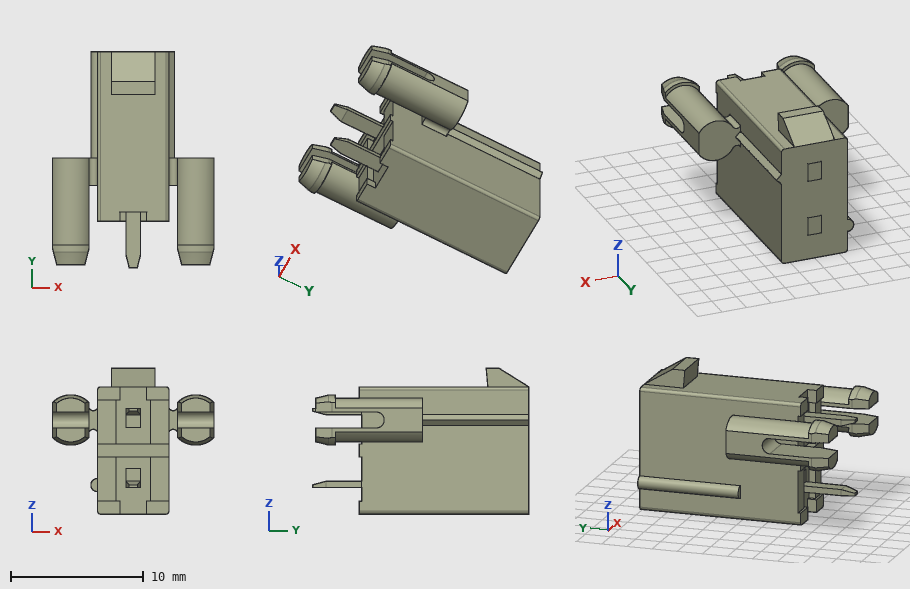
import cadquery as cq


housing_width = 5.4
housing_depth = 12.8
housing_height = 9.6
edge_radius = 0.25
side_x = housing_width / 2
top_z = housing_height / 2

corner_block_height = 1.0
middle_bar_height = 1.0
recess_depth = 0.2
channel_depth = 0.7
channel_width = 2.62
notch_width = 2.0

latch_width = 3.28
latch_height = 1.4
latch_length = 3.23
latch_ramp_length = 2.25
latch_undercut = 0.12

rib_length = 8.0
round_rib_radius = 0.5
round_rib_z = -2.6
vee_rib_height = 0.42

pin_width = 1.12
pin_block_height = 1.46
pin_tail_thickness = 0.49
pin_tail_length = 3.5
pin_tip_length = 1.0
pin_tip_width = 0.62
pin_tip_thickness = 0.22
upper_pin_outer_z = 3.18
lower_pin_outer_z = -2.8
pins_layout = [(upper_pin_outer_z, 1), (lower_pin_outer_z, -1)]

overall_width = 12.18
peg_width = 2.77
peg_half_width = peg_width / 2
peg_x = overall_width / 2 - peg_half_width
peg_z = 2.3
peg_radius = 1.65
peg_back_y = housing_depth - rib_length
head_radius = 1.9
head_tip_radius = 1.65
head_start_y = -1.77
cone_start_y = -2.3
peg_tip_y = -3.27
side_taper_start_y = -2.02
peg_tip_half_width = 1.06
slot_width = 1.2
slot_end_y = 1.9

neck_length = 2.1
neck_end_half_height = 0.9
neck_waist_half_height = 0.71


def block(x_limits, y_limits, z_limits):
    """Axis-aligned box between the given limits."""
    (x0, x1), (y0, y1), (z0, z1) = x_limits, y_limits, z_limits
    return cq.Workplane("XY").box(x1 - x0, y1 - y0, z1 - z0, centered=False).translate((x0, y0, z0))


def section_at(y):
    """Sketch plane across the Y axis; extruding runs toward +Y and local x points to -X."""
    return cq.Workplane(cq.Plane(origin=(0, y, 0), xDir=(-1, 0, 0), normal=(0, 1, 0)))


def pin_block(outer_z, outward):
    """Part of the pin inside the housing, from the channel floor to the back face."""
    z_limits = sorted((outer_z, outer_z - outward * pin_block_height))
    return block((-pin_width / 2, pin_width / 2), (channel_depth, housing_depth), z_limits)


def make_latch():
    base_y = housing_depth - latch_length + latch_undercut
    return (
        cq.Workplane("YZ")
        .moveTo(housing_depth, top_z)
        .lineTo(housing_depth - latch_ramp_length, top_z + latch_height)
        .lineTo(housing_depth - latch_length, top_z + latch_height)
        .lineTo(base_y, top_z)
        .close()
        .extrude(latch_width / 2, both=True)
    )


def make_ribs():
    """Round rib on the -X side low down, vee rib on the +X side level with the pegs."""
    rib_start_y = housing_depth - rib_length
    round_rib = section_at(rib_start_y).center(side_x, round_rib_z).circle(round_rib_radius).extrude(rib_length)
    vee_rib = (
        section_at(rib_start_y)
        .moveTo(-side_x, peg_z + vee_rib_height)
        .lineTo(-side_x - vee_rib_height, peg_z)
        .lineTo(-side_x, peg_z - vee_rib_height)
        .close()
        .extrude(rib_length)
    )
    return round_rib.union(vee_rib)


def make_housing():
    body = cq.Workplane("XY").box(housing_width, housing_depth, housing_height)
    body = body.translate((0, housing_depth / 2, 0)).edges("|Y").fillet(edge_radius)
    body = body.union(make_latch()).union(make_ribs())

    recess_inner_z = middle_bar_height / 2
    recess_outer_z = top_z - corner_block_height
    half_channel = channel_width / 2
    half_notch = notch_width / 2
    for outward in (1, -1):
        recess_z = sorted((outward * recess_inner_z, outward * recess_outer_z))
        notch_z = sorted((outward * recess_inner_z, outward * top_z))
        body = body.cut(block((-side_x, side_x), (0, recess_depth), recess_z))
        body = body.cut(block((-half_channel, half_channel), (0, channel_depth), recess_z))
        body = body.cut(block((-half_notch, half_notch), (0, channel_depth), notch_z))

    for outer_z, outward in pins_layout:
        body = body.cut(pin_block(outer_z, outward))
    return body


def make_pin(outer_z, outward):
    """The tail keeps its outer face flat; its tip narrows on both sides and on the inner face."""
    tip_start_y = pin_tip_length - pin_tail_length
    plan = (
        cq.Workplane("XY")
        .polyline([
            (-pin_width / 2, channel_depth),
            (-pin_width / 2, tip_start_y),
            (-pin_tip_width / 2, -pin_tail_length),
            (pin_tip_width / 2, -pin_tail_length),
            (pin_width / 2, tip_start_y),
            (pin_width / 2, channel_depth),
        ])
        .close()
        .extrude(housing_height, both=True)
    )
    inner_z = outer_z - outward * pin_tail_thickness
    tip_inner_z = outer_z - outward * pin_tip_thickness
    profile = (
        cq.Workplane("YZ")
        .polyline([
            (channel_depth, outer_z),
            (-pin_tail_length, outer_z),
            (-pin_tail_length, tip_inner_z),
            (tip_start_y, inner_z),
            (channel_depth, inner_z),
        ])
        .close()
        .extrude(pin_width, both=True)
    )
    return pin_block(outer_z, outward).union(plan.intersect(profile))


def make_neck():
    """Waisted web between the peg at X = 0 and the housing side on its +X side."""
    peg_face_x = peg_half_width
    housing_face_x = peg_x - side_x
    waist_x = (peg_face_x + housing_face_x) / 2
    return (
        section_at(peg_back_y - neck_length)
        .moveTo(-peg_face_x, neck_end_half_height)
        .threePointArc((-waist_x, neck_waist_half_height), (-housing_face_x, neck_end_half_height))
        .lineTo(-housing_face_x, -neck_end_half_height)
        .threePointArc((-waist_x, -neck_waist_half_height), (-peg_face_x, -neck_end_half_height))
        .close()
        .extrude(neck_length)
    )


def make_left_peg():
    """Round peg with a larger tapered head, flattened on both sides and split by a slot."""
    turned = (
        cq.Workplane("XY")
        .polyline([
            (0, peg_back_y),
            (peg_radius, peg_back_y),
            (peg_radius, head_start_y),
            (head_radius, head_start_y),
            (head_radius, cone_start_y),
            (head_tip_radius, peg_tip_y),
            (0, peg_tip_y),
        ])
        .close()
        .revolve(360, (0, 0, 0), (0, 1, 0))
    )
    flats = (
        cq.Workplane("XY")
        .polyline([
            (-peg_half_width, peg_back_y),
            (-peg_half_width, side_taper_start_y),
            (-peg_tip_half_width, peg_tip_y),
            (peg_tip_half_width, peg_tip_y),
            (peg_half_width, side_taper_start_y),
            (peg_half_width, peg_back_y),
        ])
        .close()
        .extrude(head_radius, both=True)
    )
    half_slot = slot_width / 2
    round_end_y = slot_end_y - half_slot
    slot = (
        cq.Workplane("YZ")
        .moveTo(peg_tip_y, half_slot)
        .lineTo(round_end_y, half_slot)
        .threePointArc((slot_end_y, 0), (round_end_y, -half_slot))
        .lineTo(peg_tip_y, -half_slot)
        .close()
        .extrude(peg_width, both=True)
    )
    peg = turned.intersect(flats).cut(slot).union(make_neck())
    return peg.translate((-peg_x, 0, peg_z))


housing = make_housing()
pins = [make_pin(outer_z, outward) for outer_z, outward in pins_layout]
left_peg = make_left_peg()
pegs = [left_peg, left_peg.mirror("YZ")]

result = cq.Compound.makeCompound([
    housing.val(),
    *[pin.val() for pin in pins],
    *[peg.val() for peg in pegs],
])